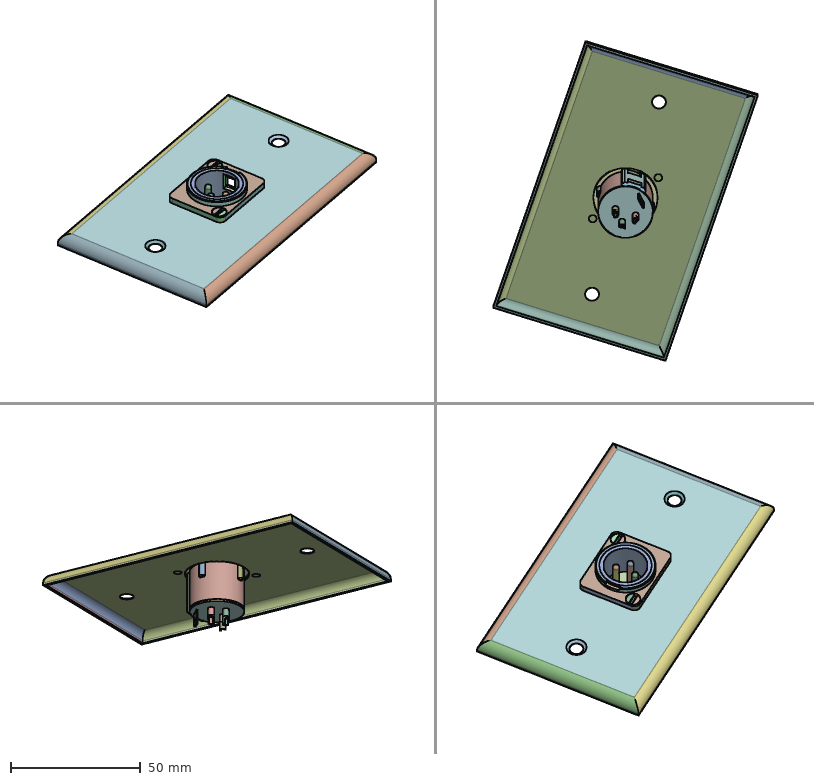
import cadquery as cq
import math


overall_height = 27.7

plate_width = 69.8
plate_length = 114.3
plate_height = 4.9
sheet = 1.0
lip_height = 1.0
edge_width = 4.2
sheet_bottom = plate_height - sheet
connector_hole_radius = 12.3
plate_hole_y = 41.4
plate_hole_radius = 2.6
plate_hole_mouth_radius = 3.9
plate_hole_sink_depth = 0.9

flange_width = 25.6
flange_length = 30.4
flange_corner_radius = 2.4
flange_top = 7.3
rim_radius = 11.7
rim_top = 9.6
rim_bevel_width = 0.3
rim_bevel_height = 0.3
barrel_radius = 10.5
barrel_bottom = -11.0

lug_radius = 1.5
lug_circle_radius = 10.2
lug_angles = (0, 180, 270)
lug_bottom = -1.1
lug_chamfer = 0.6

latch_width = 9.6
latch_y = 11.2
latch_corner_chamfer = 0.8
catch_width = 5.5
catch_y = 11.7
catch_top = -7.2
catch_bottom = -10.2
slot_width = 5.5
slot_bottom = 1.1
slot_top = 8.0
slot_blind_y = 11.1
notch_width = 6.0
notch_inner_radius = 10.3
notch_depth = 1.0

insert_radius = 10.1
bore_radius = 8.5
bore_floor = -4.7
insert_bottom = -11.9
contact_radius = 1.3
contact_nose_radius = 1.1
contact_circle_radius = 4.1
contact_angles = (0, 180, 270)
contact_top = 7.2
contact_bottom = rim_top - overall_height
cup_bore_radius = 0.8
cup_bore_depth = 3.2
cup_notch_length = 2.7
cup_notch_offset = 0.2

tab_width = 4.5
tab_thickness = 0.6
tab_bottom = -17.3
tab_seat_depth = 3.4
tab_x = -4.0
tab_y = 7.1
tab_angle = 45
tab_corner = 0.6
tab_hole_radius = 0.9
tab_hole_z = -15.3

screw_x = 9.4
screw_y = 11.9
screw_places = [(-screw_x, screw_y), (screw_x, -screw_y)]
shank_radius = 1.5
sink_mouth_radius = 2.9
sink_depth = sink_mouth_radius - shank_radius
head_recess = 0.1
screw_slot_width = 1.1
screw_slot_depth = 0.6


def cylinder(radius, bottom, top):
    return cq.Workplane("XY", origin=(0, 0, bottom)).circle(radius).extrude(top - bottom)


def cone(top_radius, bottom_radius, top, depth):
    solid = cq.Solid.makeCone(bottom_radius, top_radius, depth, pnt=cq.Vector(0, 0, top - depth))
    return cq.Workplane(obj=solid)


def box(x_range, y_range, z_range):
    (x0, x1), (y0, y1), (z0, z1) = x_range, y_range, z_range
    return cq.Workplane("XY").box(x1 - x0, y1 - y0, z1 - z0, centered=False).translate((x0, y0, z0))


def rounded_bar(plane, half_span, length, inset):
    """Bar along one plate axis whose two upper edges are arcs, set in from the outer surface."""
    side = half_span - inset
    top = plate_height - inset
    half_flat = half_span - edge_width
    shoulder = (half_flat, top)
    bend = math.sqrt(0.5)
    across = side - half_flat
    rise = top - lip_height
    middle = (half_flat + across * bend, lip_height + rise * bend)
    return (
        cq.Workplane(plane)
        .moveTo(-side, 0)
        .lineTo(side, 0)
        .lineTo(side, lip_height)
        .threePointArc(middle, shoulder)
        .lineTo(-half_flat, top)
        .threePointArc((-middle[0], middle[1]), (-side, lip_height))
        .close()
        .extrude(length / 2, both=True)
    )


def plate_block(inset):
    """Solid plate shape; crossing the two bars makes the mitred corners."""
    lengthwise = rounded_bar("XZ", plate_width / 2, plate_length - 2 * inset, inset)
    crosswise = rounded_bar("YZ", plate_length / 2, plate_width - 2 * inset, inset)
    return lengthwise.intersect(crosswise)


def make_plate():
    plate = plate_block(0).cut(plate_block(sheet))
    plate = plate.cut(cylinder(connector_hole_radius, 0, plate_height))
    for y in (-plate_hole_y, plate_hole_y):
        hole = cylinder(plate_hole_radius, 0, plate_height).union(
            cone(plate_hole_mouth_radius, plate_hole_radius, plate_height, plate_hole_sink_depth)
        )
        plate = plate.cut(hole.translate((0, y, 0)))
    for x, y in screw_places:
        plate = plate.cut(cylinder(shank_radius, 0, plate_height).translate((x, y, 0)))
    return plate


def make_lug():
    lug = cylinder(lug_radius, lug_bottom, plate_height)
    return lug.faces("<Z").chamfer(lug_chamfer).translate((lug_circle_radius, 0, 0))


def latch_profile(width, back_y, top):
    """Block across X from the axis out to back_y, bevelled at 45 degrees along the catch bottom."""
    bevel_start_y = catch_y - (catch_bottom - insert_bottom)
    bevel_end_z = catch_bottom - (catch_y - back_y)
    return (
        cq.Workplane("YZ")
        .polyline([
            (0, top),
            (back_y, top),
            (back_y, bevel_end_z),
            (bevel_start_y, insert_bottom),
            (0, insert_bottom),
        ])
        .close()
        .extrude(width / 2, both=True)
    )


def make_latch_housing():
    """Block on the +Y side of the barrel with a narrower catch at its lower end."""
    block = latch_profile(latch_width, latch_y, plate_height)
    block = block.edges("|Z and >Y").chamfer(latch_corner_chamfer)
    return block.union(latch_profile(catch_width, catch_y, catch_top))


def make_latch_slot():
    """Opening from the bore out through the latch housing, blind behind the flange and rim."""
    half_width = slot_width / 2
    blind = box((-half_width, half_width), (0, slot_blind_y), (slot_bottom, slot_top))
    through = box((-half_width, half_width), (0, catch_y), (slot_bottom, plate_height))
    return blind.union(through)


def make_rim_notch():
    """Shallow notch in the top edge of the rim above the latch slot."""
    half_width = notch_width / 2
    notch = box((-half_width, half_width), (0, rim_radius), (rim_top - notch_depth, rim_top))
    return notch.cut(cylinder(notch_inner_radius, 0, rim_top))


def insert_envelope():
    cap = cylinder(barrel_radius, insert_bottom, barrel_bottom)
    return cylinder(insert_radius, barrel_bottom, rim_top).union(cap)


def make_shell():
    flange = (
        cq.Workplane("XY", origin=(0, 0, plate_height))
        .rect(flange_width, flange_length)
        .extrude(flange_top - plate_height)
        .edges("|Z")
        .fillet(flange_corner_radius)
    )
    rim = cylinder(rim_radius, plate_height, rim_top - rim_bevel_height).union(
        cone(rim_radius - rim_bevel_width, rim_radius, rim_top, rim_bevel_height)
    )
    shell = flange.union(rim).union(cylinder(barrel_radius, barrel_bottom, plate_height))
    for angle in lug_angles:
        shell = shell.union(make_lug().rotate((0, 0, 0), (0, 0, 1), angle))
    shell = shell.union(make_latch_housing())
    for x, y in screw_places:
        hole = cylinder(shank_radius, plate_height, flange_top).union(
            cone(sink_mouth_radius, shank_radius, flange_top, sink_depth)
        )
        shell = shell.cut(hole.translate((x, y, 0)))
    return shell.cut(make_latch_slot()).cut(make_rim_notch()).cut(insert_envelope())


def make_contact():
    """Round-nosed pin at the front and a solder cup, cut away on its outer side, at the rear."""
    pin = cylinder(contact_radius, contact_bottom, contact_top)
    pin = pin.faces(">Z").edges().fillet(contact_nose_radius)
    pin = pin.cut(cylinder(cup_bore_radius, contact_bottom, contact_bottom + cup_bore_depth))
    slope = contact_radius - cup_notch_offset
    notch = (
        cq.Workplane("XZ")
        .polyline([
            (cup_notch_offset, contact_bottom),
            (contact_radius, contact_bottom),
            (contact_radius, contact_bottom + cup_notch_length),
            (cup_notch_offset, contact_bottom + cup_notch_length - slope),
        ])
        .close()
        .extrude(contact_radius, both=True)
    )
    return pin.cut(notch).translate((contact_circle_radius, 0, 0))


def make_insert(ground_lug):
    insert = insert_envelope().cut(cylinder(bore_radius, bore_floor, rim_top))
    insert = insert.cut(make_latch_slot())
    for angle in contact_angles:
        insert = insert.union(make_contact().rotate((0, 0, 0), (0, 0, 1), angle))
    return insert.cut(ground_lug)


def make_ground_lug():
    tab_top = insert_bottom + tab_seat_depth
    tab = box(
        (-tab_width / 2, tab_width / 2), (-tab_thickness / 2, tab_thickness / 2), (tab_bottom, tab_top)
    )
    tab = tab.faces("<Z").edges("|Y").chamfer(tab_corner)
    hole = (
        cq.Workplane("XZ")
        .center(0, tab_hole_z)
        .circle(tab_hole_radius)
        .extrude(tab_thickness, both=True)
    )
    return tab.cut(hole).rotate((0, 0, 0), (0, 0, 1), tab_angle).translate((tab_x, tab_y, 0))


def make_screw():
    """Slotted countersunk screw that sits slightly below the flange face."""
    head_top = flange_top - head_recess
    head_radius = sink_mouth_radius - head_recess
    screw = cylinder(shank_radius, sheet_bottom, flange_top - sink_depth).union(
        cone(head_radius, shank_radius, head_top, head_radius - shank_radius)
    )
    half_slot = screw_slot_width / 2
    slot = box(
        (-half_slot, half_slot), (-head_radius, head_radius), (head_top - screw_slot_depth, head_top)
    )
    return screw.cut(slot)


plate = make_plate()
shell = make_shell()
ground_lug = make_ground_lug()
insert = make_insert(ground_lug)
screws = [make_screw().translate((x, y, 0)) for x, y in screw_places]

result = cq.Compound.makeCompound([
    *plate.solids().vals(),
    *shell.solids().vals(),
    *insert.solids().vals(),
    *ground_lug.solids().vals(),
    *[screw.solids().val() for screw in screws],
])